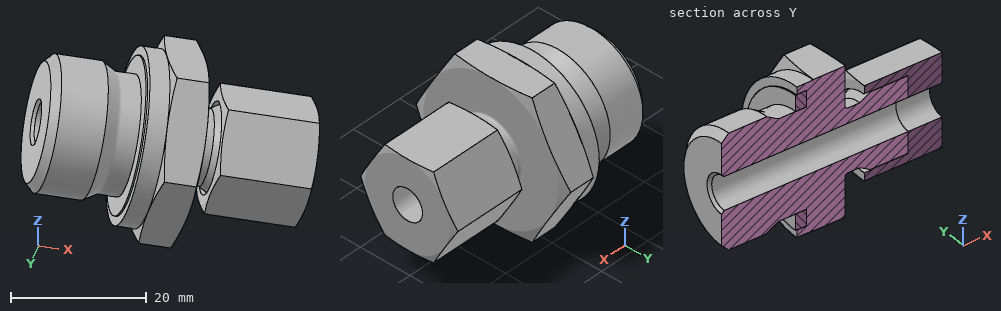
import cadquery as cq
import math


STUD_R = 10.45
STUD_CHAMFER = 1.3
STUD_END_X = 8.4
UNDERCUT_R = 9.2
UNDERCUT_FILLET = 1.0
RUNOUT_ANGLE = math.radians(30)
COLLAR_X = 14.0
COLLAR_R = 13.45

HEX_X = 17.0
HEX_WIDTH = 6.0
HEX_FLATS = 27.0
HEX_END_X = HEX_X + HEX_WIDTH

NECK_R = 5.82
NECK_FILLET = 0.5
NECK_END_X = 25.65
SPIGOT_R = 7.0
SPIGOT_DEPTH = 8.2

BORE_R = 3.0
BORE_CHAMFER = 0.5

TOTAL_LENGTH = 41.0
NUT_LENGTH = 14.5
NUT_FLATS = 17.0
NUT_X = TOTAL_LENGTH - NUT_LENGTH
SPIGOT_END_X = NUT_X + SPIGOT_DEPTH

SEAL_R = 12.0
SEAL_THICKNESS = 2.0
SEAL_PROTRUSION = 0.25
SEAL_X = COLLAR_X - SEAL_PROTRUSION

CORNER_ANGLE = math.radians(15)


def cylinder(x_start, length, radius):
    """Solid cylinder along X."""
    return cq.Workplane("YZ", origin=(x_start, 0, 0)).circle(radius).extrude(length)


def revolve_about_x(outline):
    """Full turn of a closed (x, radius) outline about the X axis."""
    return outline.close().revolve(360, (0, 0, 0), (1, 0, 0))


def chamfered_hexagon(x_start, length, flats):
    """Hexagonal bar along X, flats up and down, with both ends turned to a cone."""
    flat_r = flats / 2
    corner_r = flat_r / math.cos(math.pi / 6)
    chamfer_length = (corner_r - flat_r) * math.tan(CORNER_ANGLE)
    x_end = x_start + length
    prism = (
        cq.Workplane("YZ", origin=(x_start, 0, 0))
        .polygon(6, 2 * corner_r)
        .extrude(length)
    )
    turned_blank = revolve_about_x(
        cq.Workplane("XY")
        .moveTo(x_start, 0)
        .lineTo(x_start, flat_r)
        .lineTo(x_start + chamfer_length, corner_r)
        .lineTo(x_end - chamfer_length, corner_r)
        .lineTo(x_end, flat_r)
        .lineTo(x_end, 0)
    )
    return prism.intersect(turned_blank)


def make_stud_end():
    """Chamfered stud, conical run-out with a filleted undercut, and the collar."""
    fillet_start_r = UNDERCUT_R + UNDERCUT_FILLET * (1 - math.cos(RUNOUT_ANGLE))
    fillet_start_x = STUD_END_X + (STUD_R - fillet_start_r) / math.tan(RUNOUT_ANGLE)
    fillet_end_x = fillet_start_x + UNDERCUT_FILLET * math.sin(RUNOUT_ANGLE)
    return revolve_about_x(
        cq.Workplane("XY")
        .moveTo(0, 0)
        .lineTo(0, STUD_R - STUD_CHAMFER)
        .lineTo(STUD_CHAMFER, STUD_R)
        .lineTo(STUD_END_X, STUD_R)
        .lineTo(fillet_start_x, fillet_start_r)
        .radiusArc((fillet_end_x, UNDERCUT_R), -UNDERCUT_FILLET)
        .lineTo(COLLAR_X, UNDERCUT_R)
        .lineTo(COLLAR_X, COLLAR_R)
        .lineTo(HEX_X, COLLAR_R)
        .lineTo(HEX_X, 0)
    )


def make_spigot():
    """Neck filleted to the hexagon, widening to the spigot that enters the nut."""
    cone_end_x = NECK_END_X + (SPIGOT_R - NECK_R) / math.tan(RUNOUT_ANGLE)
    return revolve_about_x(
        cq.Workplane("XY")
        .moveTo(HEX_END_X, 0)
        .lineTo(HEX_END_X, NECK_R + NECK_FILLET)
        .radiusArc((HEX_END_X + NECK_FILLET, NECK_R), -NECK_FILLET)
        .lineTo(NECK_END_X, NECK_R)
        .lineTo(cone_end_x, SPIGOT_R)
        .lineTo(SPIGOT_END_X, SPIGOT_R)
        .lineTo(SPIGOT_END_X, 0)
    )


def make_fitting():
    """Stud end, hexagon and spigot in one piece, bored through."""
    blank = (
        make_stud_end()
        .union(chamfered_hexagon(HEX_X, HEX_WIDTH, HEX_FLATS))
        .union(make_spigot())
    )
    bore = cylinder(0, SPIGOT_END_X, BORE_R)
    bore_mouth = revolve_about_x(
        cq.Workplane("XY")
        .moveTo(0, 0)
        .lineTo(0, BORE_R + BORE_CHAMFER)
        .lineTo(BORE_CHAMFER, BORE_R)
        .lineTo(BORE_CHAMFER, 0)
    )
    seal_groove = make_seal()
    return blank.cut(bore).cut(bore_mouth).cut(seal_groove)


def make_seal():
    """Flat ring around the undercut, seated in the collar face."""
    ring = cylinder(SEAL_X, SEAL_THICKNESS, SEAL_R)
    return ring.cut(cylinder(SEAL_X, SEAL_THICKNESS, UNDERCUT_R))


def make_nut():
    """Hexagonal union nut with a socket for the spigot and a through bore."""
    blank = chamfered_hexagon(NUT_X, NUT_LENGTH, NUT_FLATS)
    socket = cylinder(NUT_X, SPIGOT_DEPTH, SPIGOT_R)
    bore = cylinder(NUT_X, NUT_LENGTH, BORE_R)
    return blank.cut(socket).cut(bore)


fitting = make_fitting()
seal = make_seal()
nut = make_nut()

result = cq.Compound.makeCompound([fitting.val(), seal.val(), nut.val()])